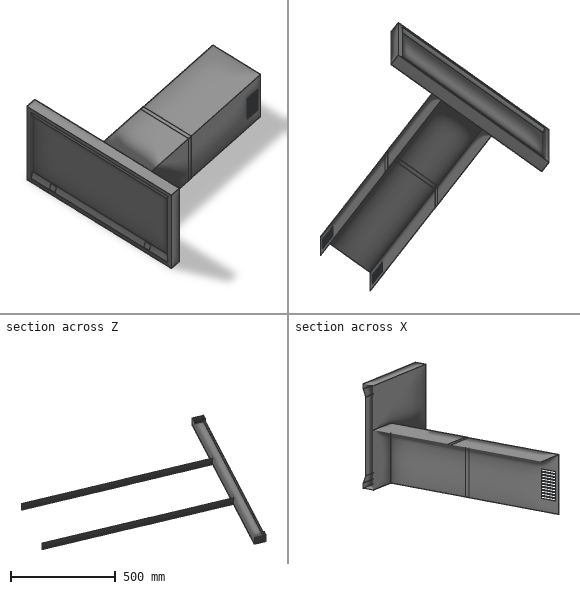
import cadquery as cq
import math

SHEET = 1.0

HOOD_WIDTH = 900.0
HOOD_HEIGHT = 520.0
HOOD_DEPTH = 60.0
RIM_WIDTH = 25.0
SIDE_RIM_WIDTH = RIM_WIDTH + SHEET
BEVEL_HEIGHT = 38.0
BEVEL_ANGLE = 20
RECESS_DEPTH = BEVEL_HEIGHT * math.tan(math.radians(BEVEL_ANGLE))

LAMP_SIZE = 34.0
LAMP_SPACING = 587.0
LAMP_THICKNESS = 2 * SHEET

TOTAL_DEPTH = 1030.0
LOWER_SIZE = 300.0
LOWER_END = 510.0
OVERLAP = 20.0
UPPER_SIZE = LOWER_SIZE - 2 * SHEET
UPPER_HEIGHT = LOWER_SIZE - SHEET
UPPER_START = LOWER_END - OVERLAP

SLOT_COUNT = 10
SLOT_LENGTH = 80.0
SLOT_END_MARGIN = 20.0
SLOT_HEIGHT = 10.0
SLOT_GAP = 5.0
SLOT_PITCH = SLOT_HEIGHT + SLOT_GAP
FIRST_SLOT_Z = 65.0
SLOT_END = TOTAL_DEPTH - SLOT_END_MARGIN
SLOT_START = SLOT_END - SLOT_LENGTH


def box(x_size, y_start, y_end, z_start, z_end):
    """Box centred on X = 0 between the given Y and Z limits."""
    return (
        cq.Workplane("XY")
        .box(x_size, y_end - y_start, z_end - z_start, centered=(True, False, False))
        .translate((0, y_start, z_start))
    )


def make_recess(clearance):
    """Front recess with bevelled top and bottom, grown outwards by the clearance."""
    width = HOOD_WIDTH - 2 * (SIDE_RIM_WIDTH - clearance)
    bottom = RIM_WIDTH - clearance
    top = HOOD_HEIGHT - bottom
    floor = RECESS_DEPTH + clearance
    bevel_height = BEVEL_HEIGHT * floor / RECESS_DEPTH
    profile = [
        (0, bottom),
        (0, top),
        (floor, top - bevel_height),
        (floor, bottom + bevel_height),
    ]
    return cq.Workplane("YZ").polyline(profile).close().extrude(width / 2, both=True)


def make_lamp(x_center):
    """Square tile lying in the middle of the lower bevel, its face flush with it."""
    tile = cq.Workplane("XY").box(LAMP_SIZE, LAMP_THICKNESS, LAMP_SIZE, centered=(True, False, True))
    bevel_center = (x_center, RECESS_DEPTH / 2, RIM_WIDTH + BEVEL_HEIGHT / 2)
    return tile.rotate((0, 0, 0), (1, 0, 0), -BEVEL_ANGLE).translate(bevel_center)


def make_hood(lamps):
    """Hollow casing with the recess pressed in and a window for each lamp."""
    casing = box(HOOD_WIDTH, 0, HOOD_DEPTH, 0, HOOD_HEIGHT)
    interior = box(HOOD_WIDTH - 2 * SHEET, SHEET, HOOD_DEPTH - SHEET, SHEET, HOOD_HEIGHT - SHEET)
    cavity = interior.cut(make_recess(SHEET))
    hood = casing.cut(cavity).cut(make_recess(0))
    for lamp in lamps:
        hood = hood.cut(lamp)
    return hood


def make_channel(width, height, y_start, y_end):
    """Sheet channel along Y with a top and two side walls."""
    outside = box(width, y_start, y_end, 0, height)
    inside = box(width - 2 * SHEET, y_start, y_end, 0, height - SHEET)
    return outside.cut(inside)


def make_lower_cover():
    return make_channel(LOWER_SIZE, LOWER_SIZE, HOOD_DEPTH, LOWER_END)


def make_upper_cover():
    """Narrower channel that starts inside the lower cover, slotted near its far end."""
    cover = make_channel(UPPER_SIZE, UPPER_HEIGHT, UPPER_START, TOTAL_DEPTH)
    for index in range(SLOT_COUNT):
        z = FIRST_SLOT_Z + index * SLOT_PITCH
        cover = cover.cut(box(UPPER_SIZE, SLOT_START, SLOT_END, z, z + SLOT_HEIGHT))
    return cover


lamps = [make_lamp(side * LAMP_SPACING / 2) for side in (-1, 1)]
hood = make_hood(lamps)
lower_cover = make_lower_cover()
upper_cover = make_upper_cover()

result = cq.Compound.makeCompound(
    [hood.val(), lower_cover.val(), upper_cover.val(), *[lamp.val() for lamp in lamps]]
)